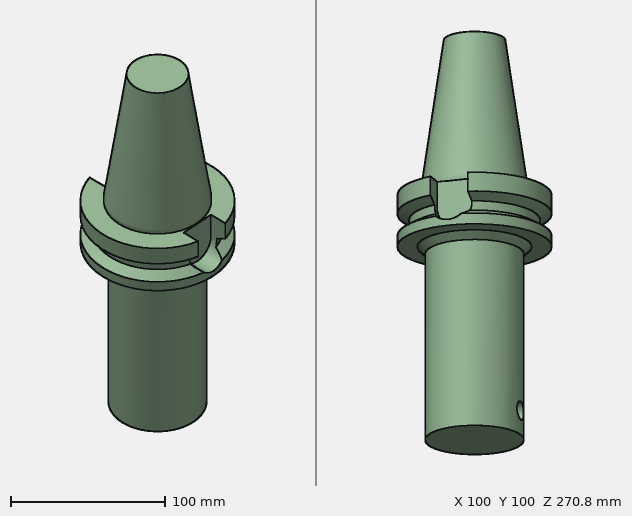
import cadquery as cq
import math


gauge_diameter = 69.85
taper_length = 101.8
taper_ratio = 7 / 24

flange_diameter = 100.0
flange_gap = 3.0
flange_thickness = 35.0

groove_depth = 7.5
groove_floor_width = 6.3
groove_center_drop = 23.2
groove_wall_angle = 30.0

slot_width = 25.7
slot_floor_distance = 35.4
slot_depth = 31.0

body_diameter = 64.0
body_end_drop = 169.0
neck_chamfer = 5.0

screw_hole_diameter = 12.3
screw_hole_depth = 14.0
screw_hole_height = 16.5

gauge_radius = gauge_diameter / 2
taper_end_radius = gauge_radius - taper_length * taper_ratio / 2
flange_radius = flange_diameter / 2
flange_top = -flange_gap
flange_bottom = flange_top - flange_thickness
groove_floor_radius = flange_radius - groove_depth
groove_wall_height = groove_depth * math.tan(math.radians(groove_wall_angle))
groove_floor_top = -groove_center_drop + groove_floor_width / 2
groove_floor_bottom = groove_floor_top - groove_floor_width
body_radius = body_diameter / 2


def make_holder_body():
    """Revolve the half profile of taper, grooved flange and body about Z."""
    profile = [
        (0, taper_length),
        (taper_end_radius, taper_length),
        (gauge_radius, 0),
        (gauge_radius, flange_top),
        (flange_radius, flange_top),
        (flange_radius, groove_floor_top + groove_wall_height),
        (groove_floor_radius, groove_floor_top),
        (groove_floor_radius, groove_floor_bottom),
        (flange_radius, groove_floor_bottom - groove_wall_height),
        (flange_radius, flange_bottom),
        (body_radius + neck_chamfer, flange_bottom),
        (body_radius, flange_bottom - neck_chamfer),
        (body_radius, -body_end_drop),
        (0, -body_end_drop),
    ]
    return cq.Workplane("XZ").polyline(profile).close().revolve(360, (0, 0), (0, 1))


def make_drive_slot(side):
    """Round-ended slot cutter on the +X (side = 1) or -X (side = -1) side."""
    half_width = slot_width / 2
    slot_bottom = flange_top - slot_depth
    arc_center_height = slot_bottom + half_width
    return (
        cq.Workplane("YZ", origin=(side * slot_floor_distance, 0, 0))
        .moveTo(-half_width, flange_top)
        .lineTo(-half_width, arc_center_height)
        .threePointArc((0, slot_bottom), (half_width, arc_center_height))
        .lineTo(half_width, flange_top)
        .close()
        .extrude(side * (flange_radius - slot_floor_distance))
    )


def make_screw_hole():
    """Blind radial hole cutter entering the body from +Y."""
    hole_start = (0, body_radius, -body_end_drop + screw_hole_height)
    return cq.Workplane("XZ", origin=hole_start).circle(screw_hole_diameter / 2).extrude(screw_hole_depth)


result = make_holder_body()
for side in (-1, 1):
    result = result.cut(make_drive_slot(side))
result = result.cut(make_screw_hole())